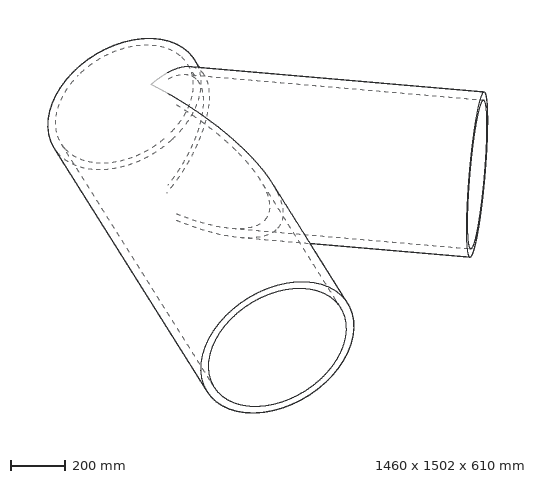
import cadquery as cq
import math

outer_diameter = 610.0
bore_diameter = 548.0
run_length = 1460.0
overall_width = 1502.0
branch_angle = 60.0
junction_offset = 255.0

outer_radius = outer_diameter / 2
angle = math.radians(branch_angle)

branch_end_y = overall_width - outer_radius - outer_radius * math.cos(angle)
branch_length = branch_end_y / math.sin(angle)

run_start = cq.Vector(-junction_offset, 0, 0)
run_direction = cq.Vector(1, 0, 0)
junction = cq.Vector(0, 0, 0)
branch_direction = cq.Vector(math.cos(angle), math.sin(angle), 0)


def tee_cylinders(diameter):
    """Union of the run and branch cylinders of the given diameter."""
    radius = diameter / 2
    run = cq.Solid.makeCylinder(radius, run_length, run_start, run_direction)
    branch = cq.Solid.makeCylinder(radius, branch_length, junction, branch_direction)
    return cq.Workplane(obj=run).union(cq.Workplane(obj=branch))


tee = tee_cylinders(outer_diameter).cut(tee_cylinders(bore_diameter))

beyond_run_end = (
    cq.Workplane("YZ", origin=run_start.toTuple())
    .circle(outer_diameter)
    .extrude(-outer_radius)
)
result = tee.cut(beyond_run_end)